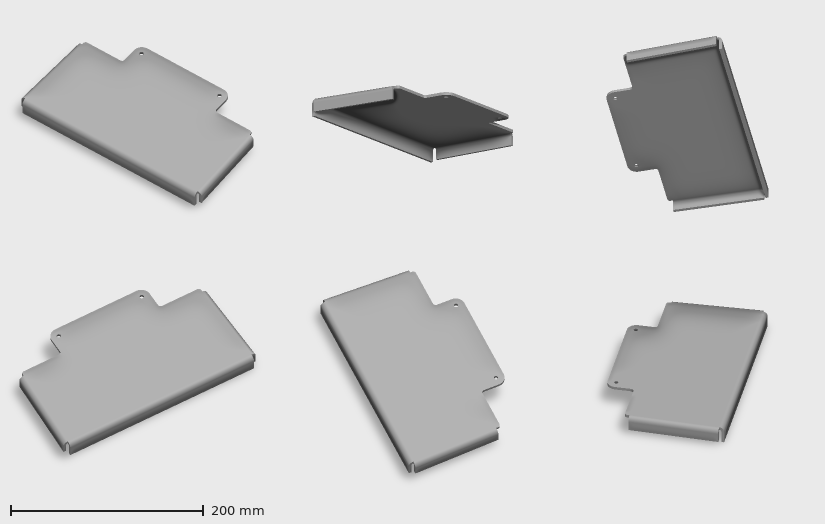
import cadquery as cq
import math

overall_width = 231.5
overall_depth = 136.5
front_height = 18.0
side_height = 15.0
thickness = 3.0
inner_bend_radius = 2.0
outer_bend_radius = inner_bend_radius + thickness

taper_angle = 1.8
plate_half_width = overall_width / 2 - outer_bend_radius * math.cos(math.radians(taper_angle))
tab_rear = overall_depth - outer_bend_radius
tab_length = 30.0
tab_half_width = 59.0
shoulder_y = tab_rear - tab_length
shoulder_half_width = plate_half_width - shoulder_y * math.tan(math.radians(taper_angle))
tab_corner_radius = 10.0
tab_root_radius = 3.0
shoulder_corner_radius = 3.0

side_flange_length = 96.1
hole_diameter = 4.5
hole_half_spacing = 50.0
hole_rear_margin = 9.3


def flat_plate():
    right_edge = [
        (plate_half_width, 0),
        (shoulder_half_width, shoulder_y),
        (tab_half_width, shoulder_y),
        (tab_half_width, tab_rear),
    ]
    left_edge = [(-x, y) for x, y in reversed(right_edge)]
    plate = cq.Workplane("XY").polyline(right_edge + left_edge).close().extrude(-thickness)
    for side in (-1, 1):
        for x, y, radius in (
            (shoulder_half_width, shoulder_y, shoulder_corner_radius),
            (tab_half_width, shoulder_y, tab_root_radius),
            (tab_half_width, tab_rear, tab_corner_radius),
        ):
            corner = cq.selectors.NearestToPointSelector((side * x, y, -thickness / 2))
            plate = plate.edges(corner).fillet(radius)
    holes = (
        cq.Workplane("XY")
        .pushPoints([(side * hole_half_spacing, tab_rear - hole_rear_margin) for side in (-1, 1)])
        .circle(hole_diameter / 2)
        .extrude(-thickness)
    )
    return plate.cut(holes)


def bent_flange(height, length, start, along, outward):
    """Quarter bend and straight lip, swept from start in the direction along."""
    plane = cq.Plane(origin=start, xDir=outward, normal=along)
    down = -1 if plane.yDir.z > 0 else 1
    diagonal = math.sqrt(0.5)

    def arc_middle(radius):
        return (radius * diagonal, down * (outer_bend_radius - radius * diagonal))

    return (
        cq.Workplane(plane)
        .moveTo(0, 0)
        .threePointArc(arc_middle(outer_bend_radius), (outer_bend_radius, down * outer_bend_radius))
        .lineTo(outer_bend_radius, down * height)
        .lineTo(inner_bend_radius, down * height)
        .lineTo(inner_bend_radius, down * outer_bend_radius)
        .threePointArc(arc_middle(inner_bend_radius), (0, down * thickness))
        .close()
        .extrude(length)
    )


def side_flange(side):
    lean = math.radians(taper_angle)
    along = (-side * math.sin(lean), math.cos(lean), 0)
    outward = (side * math.cos(lean), math.sin(lean), 0)
    return bent_flange(side_height, side_flange_length, (side * plate_half_width, 0, 0), along, outward)


front_flange = bent_flange(
    front_height, 2 * plate_half_width, (-plate_half_width, 0, 0), (1, 0, 0), (0, -1, 0)
)

result = flat_plate().union(front_flange)
for side in (-1, 1):
    result = result.union(side_flange(side))